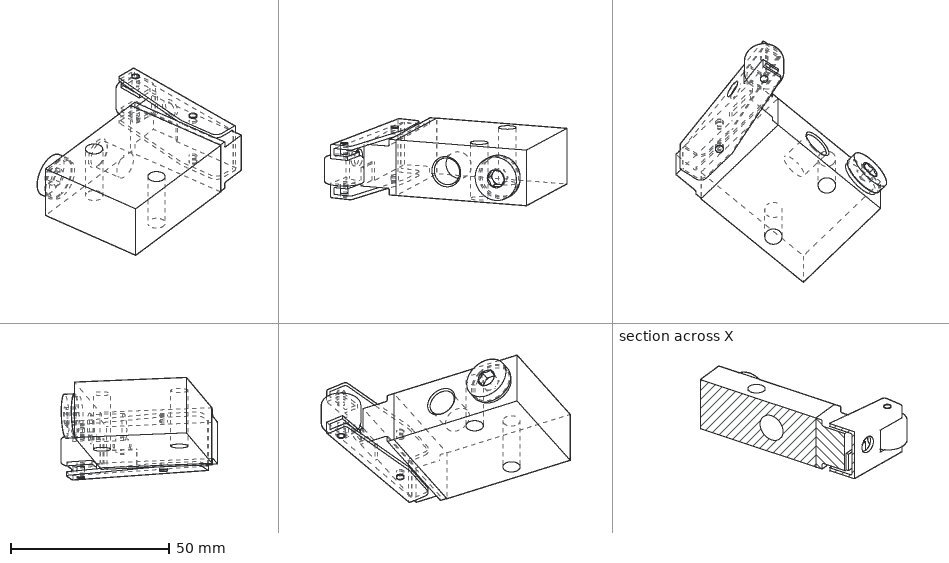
import cadquery as cq
import math


HOUSING_LENGTH = 36.0
HOUSING_DEPTH = 44.05
THICKNESS = 18.0
BOLT_HOLE_DIAMETER = 5.5
BOLT_HOLE_XS = (5.5, 30.4)
BOLT_HOLE_Y = 18.05
PORT_DIAMETER = 8.6
PORT_MOUTH_DIAMETER = 9.75
PORT_DEPTH = 10.95
PORT_Y = 27.1

CAP_Y = 8.6
CAP_DIAMETER = 14.0
CAP_NECK_DIAMETER = 13.0
CAP_PROJECTION = 4.6
CAP_NECK_LENGTH = 1.35
SOCKET_FLATS = 5.0
SOCKET_CORNERS = SOCKET_FLATS / math.cos(math.radians(30))
SOCKET_DEPTH = 3.2
SOCKET_CONE_DEPTH = 1.4

HEAD_LENGTH = 35.8
SHOULDER_Y = 46.45
HEAD_TOP_Y = 55.0
NOSE_THICKNESS = 13.6
SHOULDER_EDGE_RADIUS = 0.25
NOSE_ROOT_RADIUS = 0.5
LUG_LENGTH = 9.7
LUG_TOP_Y = 55.9
LUG_TOP_Z = -0.85
PIVOT_X = 18.95
PIVOT_Y = 51.8
PIVOT_DIAMETER = 2.5

LEVER_TILT = 7.2
LEVER_WIDTH = 17.3
SHEET = 1.2
LEVER_LEFT = -32.0
LEVER_RIGHT = 13.1
LEVER_BACK = 5.95
WEB_INSIDE = LEVER_BACK - SHEET
FRONT_LEFT = -1.5
KNEE_X = -0.95
KNEE_Y = -4.25
BEND_RADIUS = 0.5
INNER_BEND_RADIUS = 0.3
LEFT_CORNER_RADIUS = 0.95
RIGHT_CORNER_RADIUS = 2.6
TAB_RIGHT = -23.75
TAB_FRONT = -0.1
WEB_SLOT_RIGHT = -21.6
WEB_HOLE_X = -15.5
WEB_HOLE_Z = 1.35
WEB_HOLE_DIAMETER = 5.5

ROLLER_X = -28.45
ROLLER_Y = 2.9
ROLLER_DIAMETER = 12.5
ROLLER_WIDTH = 8.0
ROLLER_EDGE_RADIUS = 0.5
ROLLER_PIN_DIAMETER = 2.4
ROLLER_PIN_RECESS = 0.25


def block(x_range, y_range, z_range):
    """Box between the given limits."""
    size = [high - low for low, high in (x_range, y_range, z_range)]
    corner = (x_range[0], y_range[0], z_range[0])
    return cq.Workplane("XY").box(*size, centered=False).translate(corner)


def upright(x, y, diameter, height):
    """Cylinder along Z, centred on the mid plane."""
    return cq.Workplane("XY", origin=(x, y, -height / 2)).circle(diameter / 2).extrude(height)


def revolve_along_x(y, profile):
    """Solid of revolution about the X-parallel axis at y, from (x, radius) points."""
    return cq.Workplane("XY").polyline(profile).close().revolve(360, (0, 0), (1, 0)).translate((0, y, 0))


def across(width):
    """Z limits of a width centred on the mid plane."""
    return (-width / 2, width / 2)


def place_on_pivot(shape):
    """Move a shape from the lever frame to its place on the tilted lever."""
    return shape.rotate((0, 0, 0), (0, 0, 1), -LEVER_TILT).translate((PIVOT_X, PIVOT_Y, 0))


def make_port():
    mouth, bore = PORT_MOUTH_DIAMETER / 2, PORT_DIAMETER / 2
    profile = [(0, 0), (0, mouth), (mouth - bore, bore), (PORT_DEPTH, bore), (PORT_DEPTH, 0)]
    return revolve_along_x(PORT_Y, profile)


def make_cap():
    rim, neck = CAP_DIAMETER / 2, CAP_NECK_DIAMETER / 2
    step = -CAP_NECK_LENGTH
    profile = [(-CAP_PROJECTION, 0), (-CAP_PROJECTION, rim), (step, rim), (step, neck), (0, neck), (0, 0)]
    return revolve_along_x(CAP_Y, profile)


def make_socket():
    """Hexagon with a countersunk mouth and a conical bottom."""
    mouth, flat = SOCKET_CORNERS / 2, SOCKET_FLATS / 2
    face = -CAP_PROJECTION
    bottom = face + SOCKET_DEPTH
    hexagon = (
        cq.Workplane("YZ", origin=(face, CAP_Y, 0))
        .polygon(6, SOCKET_CORNERS)
        .extrude(SOCKET_DEPTH)
    )
    countersink = revolve_along_x(CAP_Y, [(face, 0), (face, mouth), (face + mouth, 0)])
    cone = revolve_along_x(CAP_Y, [(bottom, 0), (bottom, flat), (bottom + SOCKET_CONE_DEPTH, 0)])
    return hexagon.union(countersink).union(cone)


def make_housing():
    housing = block((0, HOUSING_LENGTH), (0, HOUSING_DEPTH), across(THICKNESS))
    for x in BOLT_HOLE_XS:
        housing = housing.cut(upright(x, BOLT_HOLE_Y, BOLT_HOLE_DIAMETER, THICKNESS))
    return housing.cut(make_port()).union(make_cap()).cut(make_socket())


def make_head():
    """Shouldered head with a lug, carrying the pivot of the lever."""
    base = block((0, HEAD_LENGTH), (HOUSING_DEPTH, SHOULDER_Y), across(THICKNESS))
    nose = block((0, HEAD_LENGTH), (SHOULDER_Y, HEAD_TOP_Y), across(NOSE_THICKNESS))
    head = base.union(nose)
    for side in (-1, 1):
        root = cq.NearestToPointSelector((HEAD_LENGTH / 2, SHOULDER_Y, side * NOSE_THICKNESS / 2))
        head = head.edges(root).fillet(NOSE_ROOT_RADIUS)
        edge = cq.NearestToPointSelector((HEAD_LENGTH / 2, SHOULDER_Y, side * THICKNESS / 2))
        head = head.edges(edge).fillet(SHOULDER_EDGE_RADIUS)
    lug = block((0, LUG_LENGTH), (SHOULDER_Y, LUG_TOP_Y), (-NOSE_THICKNESS / 2, LUG_TOP_Z))
    relief = block((0, LEVER_RIGHT), (WEB_INSIDE, LEVER_BACK), across(THICKNESS))
    pivot = upright(PIVOT_X, PIVOT_Y, PIVOT_DIAMETER, THICKNESS)
    return head.union(lug).cut(place_on_pivot(relief)).union(pivot)


def make_lever_blank():
    """Solid with the tilted outline and the rounded corners of the lever."""
    front_right = KNEE_Y + (LEVER_RIGHT - KNEE_X) * math.tan(math.radians(LEVER_TILT))
    outline = [
        (LEVER_LEFT, LEVER_BACK),
        (LEVER_LEFT, FRONT_LEFT),
        (KNEE_X, KNEE_Y),
        (LEVER_RIGHT, front_right),
        (LEVER_RIGHT, LEVER_BACK),
    ]
    bottom_plane = cq.Workplane("XY", origin=(0, 0, -LEVER_WIDTH / 2))
    blank = bottom_plane.polyline(outline).close().extrude(LEVER_WIDTH)
    left_corner = cq.NearestToPointSelector((LEVER_LEFT, FRONT_LEFT, 0))
    blank = blank.edges(left_corner).fillet(LEFT_CORNER_RADIUS)
    right_corner = cq.NearestToPointSelector((LEVER_RIGHT, front_right, 0))
    blank = blank.edges(right_corner).fillet(RIGHT_CORNER_RADIUS)
    return blank.faces(">Y").edges("|X").fillet(BEND_RADIUS)


def round_inner_bends(lever):
    """Round the corners where the flanges and the tabs meet the web."""
    flange_bend = ((LEVER_LEFT + LEVER_RIGHT) / 2, LEVER_WIDTH / 2 - SHEET)
    tab_bend = ((LEVER_LEFT + TAB_RIGHT) / 2, ROLLER_WIDTH / 2 + SHEET)
    for side in (-1, 1):
        for x, z in (tab_bend, flange_bend):
            bend = cq.NearestToPointSelector((x, WEB_INSIDE, side * z))
            lever = lever.edges(bend).fillet(INNER_BEND_RADIUS)
    return lever


def make_lever():
    """Tilted channel with two tabs folded in beside the roller."""
    channel = block((LEVER_LEFT, LEVER_RIGHT), (KNEE_Y, WEB_INSIDE), across(LEVER_WIDTH - 2 * SHEET))
    tabs = block((LEVER_LEFT, TAB_RIGHT), (TAB_FRONT, LEVER_BACK), across(ROLLER_WIDTH + 2 * SHEET))
    roller_slot = block((LEVER_LEFT, WEB_SLOT_RIGHT), (KNEE_Y, LEVER_BACK), across(ROLLER_WIDTH))
    web_hole = (
        cq.Workplane("XZ", origin=(WEB_HOLE_X, LEVER_BACK, WEB_HOLE_Z))
        .circle(WEB_HOLE_DIAMETER / 2)
        .extrude(SHEET)
    )
    lever = make_lever_blank().cut(channel).union(tabs)
    lever = round_inner_bends(lever).cut(roller_slot).cut(web_hole)
    lever = lever.cut(upright(0, 0, PIVOT_DIAMETER, LEVER_WIDTH))
    lever = lever.cut(upright(ROLLER_X, ROLLER_Y, ROLLER_PIN_DIAMETER, LEVER_WIDTH))
    return place_on_pivot(lever)


def make_roller():
    """Roller in one piece with its pin, which ends just below the faces of the lever."""
    roller = upright(ROLLER_X, ROLLER_Y, ROLLER_DIAMETER, ROLLER_WIDTH)
    roller = roller.edges().fillet(ROLLER_EDGE_RADIUS)
    pin = upright(ROLLER_X, ROLLER_Y, ROLLER_PIN_DIAMETER, LEVER_WIDTH - 2 * ROLLER_PIN_RECESS)
    return place_on_pivot(roller.union(pin))


housing = make_housing()
head = make_head()
lever = make_lever()
roller = make_roller()

bodies = (housing, head, lever, roller)
result = cq.Compound.makeCompound([body.solids().val() for body in bodies])